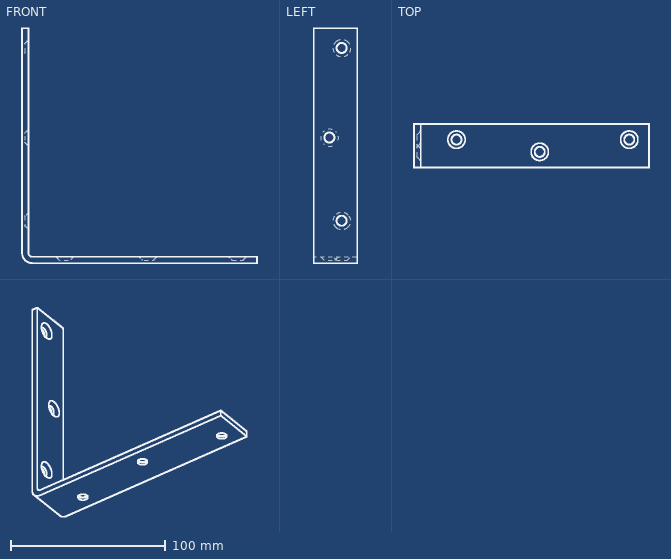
import cadquery as cq

leg_length = 152.4
width = 28.5
thickness = 4.3
inner_radius = 2.5
outer_radius = inner_radius + thickness

hole_diameter = 6.4
sink_diameter = 11.3
sink_angle = 90.0
hole_offset = 4.0
end_hole_inset = 12.8
corner_hole_distance = 27.6
middle_hole_distance = 81.5
hole_positions = [
    (corner_hole_distance, hole_offset),
    (middle_hole_distance, -hole_offset),
    (leg_length - end_hole_inset, hole_offset),
]


def bent_strip():
    """L-shaped strip with its outer corner on the Y axis, centred across Y."""
    profile = (
        cq.Workplane("XZ")
        .moveTo(0, 0)
        .lineTo(leg_length, 0)
        .lineTo(leg_length, thickness)
        .lineTo(thickness, thickness)
        .lineTo(thickness, leg_length)
        .lineTo(0, leg_length)
        .close()
    )
    strip = profile.extrude(width / 2, both=True)
    outer_corner = cq.selectors.NearestToPointSelector((0, 0, 0))
    inner_corner = cq.selectors.NearestToPointSelector((thickness, 0, thickness))
    strip = strip.edges("|Y").edges(outer_corner).fillet(outer_radius)
    return strip.edges("|Y").edges(inner_corner).fillet(inner_radius)


def drill_leg(body, inner_face):
    """Drill one leg; local x runs along the leg and the sinks open on its inner face."""
    return (
        body.copyWorkplane(cq.Workplane(inner_face))
        .pushPoints(hole_positions)
        .cskHole(hole_diameter, sink_diameter, sink_angle, depth=thickness)
    )


horizontal_face = cq.Plane(origin=(0, 0, thickness), xDir=(1, 0, 0), normal=(0, 0, 1))
vertical_face = cq.Plane(origin=(thickness, 0, 0), xDir=(0, 0, 1), normal=(1, 0, 0))

result = bent_strip()
result = drill_leg(result, horizontal_face)
result = drill_leg(result, vertical_face)